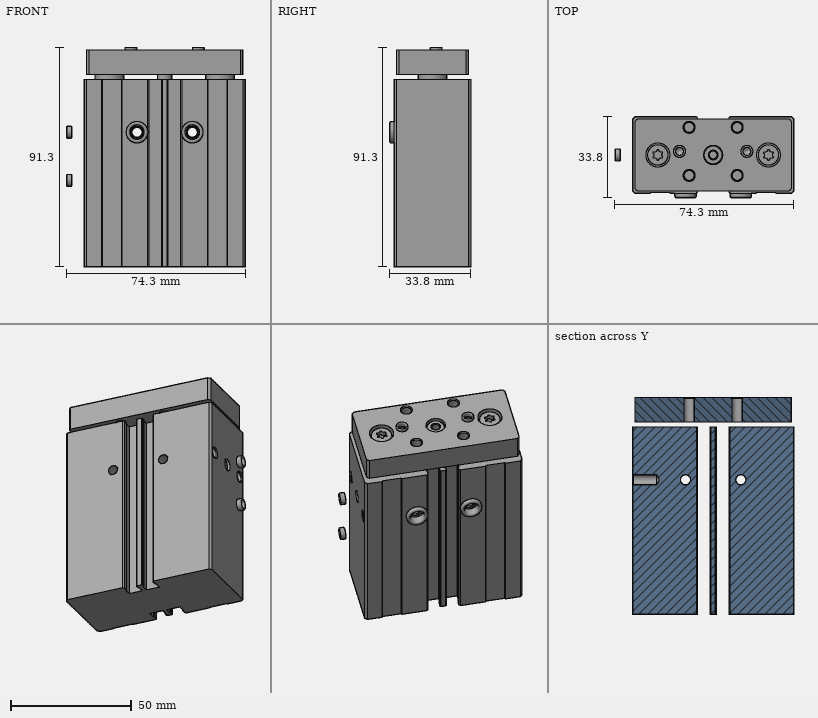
import cadquery as cq
import math

HOUSING_WIDTH = 67.0
HOUSING_DEPTH = 32.0
HOUSING_HEIGHT = 78.0
HOUSING_CHAMFER = 1.0

FLUTE_WIDTH = 8.4
FLUTE_SIDE_SLOPE = 0.25
FLUTE_DEPTH = 0.4
FLUTE_X = 22.0

SLOT_PAIR_WIDTH = 13.0
SLOT_EDGE_CHAMFER = 0.6
SLOT_LIP = 2.5
SLOT_UNDERCUT = 0.4
SLOT_DEPTH = 6.0
RIB_WIDTH = 2.7
RIB_CHAMFER = 0.35
RIB_SETBACK = 1.1
RIB_LIP = 1.9

MOUNT_Z = 56.0
MOUNT_X = 11.5
MOUNT_BORE = 4.13
MOUNT_MOUTH = 5.0
SIDE_HOLE_Y = 12.0
SIDE_HOLE_DIAMETER = 4.13
SIDE_HOLE_MOUTH = 5.0
SIDE_HOLE_DEPTH = 10.0
DRILL_POINT_ANGLE = 118.0

PLATE_GAP = 2.0
PLATE_WIDTH = 65.0
PLATE_DEPTH = 30.0
PLATE_THICKNESS = 10.2
PLATE_CHAMFER = 1.0
PLATE_BOTTOM_Z = HOUSING_HEIGHT + PLATE_GAP
PLATE_TOP_Z = PLATE_BOTTOM_Z + PLATE_THICKNESS
GUIDE_ROD_DIAMETER = 12.0
GUIDE_ROD_X = 23.0
GUIDE_ROD_REACH = 70.0
PISTON_ROD_DIAMETER = 6.0
PISTON_ROD_REACH = 40.0

PATTERN_Y = 1.5
TAPPED_SPACING = 20.0
TAPPED_BORE = 4.13
TAPPED_MOUTH = 5.0
PIN_HOLE_X = 14.0
PIN_HOLE_BORE = 3.3
PIN_HOLE_DEPTH = 6.0

ROD_END_MOUTH = 8.0
ROD_END_DIAMETER = 7.5
ROD_END_FILLET = 0.5
ROD_END_SUNK = 0.8
ROD_END_GROOVE_DEPTH = 1.8
ROD_END_SOCKET_MOUTH = 4.0
ROD_END_SOCKET = 3.24
ROD_END_SOCKET_DEPTH = 4.0

COUNTERBORE_DIAMETER = 10.0
HEAD_DIAMETER = 8.5
HEAD_HEIGHT = 3.2
HEAD_SUNK = 0.8
HEAD_FILLET = 0.5
SHANK_DIAMETER = 5.0
SHANK_LENGTH = 16.0
SOCKET_TIP_RADIUS = 2.25
SOCKET_SHOULDER_RADIUS = 2.0
SOCKET_ROOT_RADIUS = 1.6
LOBE_HALF_TURN = 0.16
SOCKET_LOBES = 6
SOCKET_DEPTH = 2.0

SMALL_SLEEVE_DIAMETER = 5.0
SMALL_SLEEVE_BORE = 3.3
SMALL_SLEEVE_LENGTH = 2.2
SMALL_SLEEVE_RECESS = 1.1
LARGE_SLEEVE_DIAMETER = 9.0
LARGE_SLEEVE_BORE = 6.0
LARGE_SLEEVE_LENGTH = 4.0
LARGE_SLEEVE_RECESS = 2.2
LOOSE_SLEEVE_X = -40.8
LOOSE_SLEEVE_PITCH = 20.0

UP = cq.Vector(0, 0, 1)
DOWN = cq.Vector(0, 0, -1)
LEFT_TO_RIGHT = cq.Vector(1, 0, 0)
FRONT_TO_BACK = cq.Vector(0, 1, 0)
SIDES = (-1, 1)


def cylinder(diameter, length, start, direction):
    return cq.Workplane(cq.Solid.makeCylinder(diameter / 2, length, cq.Vector(*start), direction))


def cone(start_diameter, end_diameter, length, start, direction):
    solid = cq.Solid.makeCone(start_diameter / 2, end_diameter / 2, length, cq.Vector(*start), direction)
    return cq.Workplane(solid)


def mouth_chamfer(mouth, bore, start, direction):
    """45 degree cone that opens a bore at its mouth."""
    return cone(mouth, bore, (mouth - bore) / 2, start, direction)


def blind_hole(diameter, depth, start, direction):
    """Drilled hole with a conical bottom."""
    tip_length = diameter / 2 / math.tan(math.radians(DRILL_POINT_ANGLE / 2))
    tip_start = cq.Vector(*start) + direction * depth
    tip = cone(diameter, 0, tip_length, tip_start.toTuple(), direction)
    return cylinder(diameter, depth, start, direction).union(tip)


def slot_pair():
    """Cutter for one pair of T-slots in the front face, rib left standing."""
    face_y = -HOUSING_DEPTH / 2
    floor_y = face_y + SLOT_DEPTH
    rib_y = face_y + RIB_SETBACK
    lip_y = face_y + SLOT_LIP
    head_y = rib_y + RIB_LIP
    mouth_x = SLOT_PAIR_WIDTH / 2
    rib_x = RIB_WIDTH / 2
    half = [
        (0, face_y),
        (mouth_x + SLOT_EDGE_CHAMFER, face_y),
        (mouth_x, face_y + SLOT_EDGE_CHAMFER),
        (mouth_x, lip_y),
        (mouth_x + SLOT_UNDERCUT, lip_y),
        (mouth_x + SLOT_UNDERCUT, floor_y),
        (rib_x - SLOT_UNDERCUT, floor_y),
        (rib_x - SLOT_UNDERCUT, head_y),
        (rib_x, head_y),
        (rib_x, rib_y + RIB_CHAMFER),
        (rib_x - RIB_CHAMFER, rib_y),
        (0, rib_y),
    ]
    right = cq.Workplane("XY").polyline(half).close().extrude(HOUSING_HEIGHT)
    return right.union(right.mirror("YZ"))


def make_housing():
    body = (
        cq.Workplane("XY")
        .rect(HOUSING_WIDTH, HOUSING_DEPTH)
        .extrude(HOUSING_HEIGHT)
        .edges("|Z")
        .chamfer(HOUSING_CHAMFER)
    )
    front_y = -HOUSING_DEPTH / 2
    left_x = -HOUSING_WIDTH / 2

    slots = slot_pair()
    body = body.cut(slots).cut(slots.mirror("XZ"))

    for side in SIDES:
        floor_half_width = FLUTE_WIDTH / 2 - FLUTE_SIDE_SLOPE
        flute = (
            cq.Workplane("XY")
            .center(side * FLUTE_X, front_y)
            .polyline([
                (-FLUTE_WIDTH / 2, 0),
                (FLUTE_WIDTH / 2, 0),
                (floor_half_width, FLUTE_DEPTH),
                (-floor_half_width, FLUTE_DEPTH),
            ])
            .close()
            .extrude(HOUSING_HEIGHT)
        )
        body = body.cut(flute)

        mouth = (side * MOUNT_X, front_y, MOUNT_Z)
        seat_floor = (side * MOUNT_X, front_y + LARGE_SLEEVE_RECESS, MOUNT_Z)
        body = body.cut(cylinder(MOUNT_BORE, HOUSING_DEPTH, mouth, FRONT_TO_BACK))
        body = body.cut(cylinder(LARGE_SLEEVE_DIAMETER, LARGE_SLEEVE_RECESS, mouth, FRONT_TO_BACK))
        body = body.cut(mouth_chamfer(MOUNT_MOUTH, MOUNT_BORE, seat_floor, FRONT_TO_BACK))

        mouth = (left_x, side * SIDE_HOLE_Y, MOUNT_Z)
        body = body.cut(blind_hole(SIDE_HOLE_DIAMETER, SIDE_HOLE_DEPTH, mouth, LEFT_TO_RIGHT))
        body = body.cut(mouth_chamfer(SIDE_HOLE_MOUTH, SIDE_HOLE_DIAMETER, mouth, LEFT_TO_RIGHT))

        body = body.cut(
            cylinder(GUIDE_ROD_DIAMETER, GUIDE_ROD_REACH, (side * GUIDE_ROD_X, 0, HOUSING_HEIGHT), DOWN)
        )

    body = body.cut(
        cylinder(SMALL_SLEEVE_DIAMETER, SMALL_SLEEVE_RECESS, (left_x, 0, MOUNT_Z), LEFT_TO_RIGHT)
    )
    return body.cut(cylinder(PISTON_ROD_DIAMETER, PISTON_ROD_REACH, (0, 0, HOUSING_HEIGHT), DOWN))


def make_carriage():
    body = (
        cq.Workplane("XY")
        .workplane(offset=PLATE_BOTTOM_Z)
        .rect(PLATE_WIDTH, PLATE_DEPTH)
        .extrude(PLATE_THICKNESS)
        .edges("|Z")
        .chamfer(PLATE_CHAMFER)
    )
    piston_length = PISTON_ROD_REACH + PLATE_GAP
    body = body.union(cylinder(PISTON_ROD_DIAMETER, piston_length, (0, 0, PLATE_BOTTOM_Z), DOWN))

    guide_length = GUIDE_ROD_REACH + PLATE_GAP
    for side in SIDES:
        rod_x = side * GUIDE_ROD_X
        body = body.union(cylinder(GUIDE_ROD_DIAMETER, guide_length, (rod_x, 0, PLATE_BOTTOM_Z), DOWN))

        top = (rod_x, 0, PLATE_TOP_Z)
        counterbore_depth = HEAD_SUNK + HEAD_HEIGHT
        body = body.cut(cylinder(COUNTERBORE_DIAMETER, counterbore_depth, top, DOWN))
        body = body.cut(cylinder(SHANK_DIAMETER, counterbore_depth + SHANK_LENGTH, top, DOWN))

        top = (side * PIN_HOLE_X, PATTERN_Y, PLATE_TOP_Z)
        body = body.cut(cylinder(SMALL_SLEEVE_DIAMETER, SMALL_SLEEVE_RECESS, top, DOWN))
        body = body.cut(blind_hole(PIN_HOLE_BORE, PIN_HOLE_DEPTH, top, DOWN))

        for row in SIDES:
            hole_x = side * TAPPED_SPACING / 2
            hole_y = PATTERN_Y + row * TAPPED_SPACING / 2
            top = (hole_x, hole_y, PLATE_TOP_Z)
            body = body.cut(cylinder(TAPPED_BORE, PLATE_THICKNESS, top, DOWN))
            body = body.cut(mouth_chamfer(TAPPED_MOUTH, TAPPED_BORE, top, DOWN))

    plate_top = (0, 0, PLATE_TOP_Z)
    end_top = (0, 0, PLATE_TOP_Z - ROD_END_SUNK)
    end_height = ROD_END_GROOVE_DEPTH - ROD_END_SUNK
    rod_end = cylinder(ROD_END_DIAMETER, end_height, end_top, DOWN).faces(">Z").edges().fillet(ROD_END_FILLET)
    body = body.cut(cylinder(ROD_END_MOUTH, ROD_END_GROOVE_DEPTH, plate_top, DOWN)).union(rod_end)
    body = body.cut(cylinder(ROD_END_SOCKET, ROD_END_SOCKET_DEPTH, end_top, DOWN))
    return body.cut(mouth_chamfer(ROD_END_SOCKET_MOUTH, ROD_END_SOCKET, end_top, DOWN))


def socket_outline(x, z):
    """Six-lobed outline: convex lobe tips joined by concave flanks."""
    step = 2 * math.pi / SOCKET_LOBES

    def polar(radius, turn):
        return radius * math.sin(turn * step), radius * math.cos(turn * step)

    outline = cq.Workplane("XY", origin=(x, 0, z)).moveTo(*polar(SOCKET_SHOULDER_RADIUS, LOBE_HALF_TURN))
    for lobe in range(SOCKET_LOBES):
        next_start = lobe + 1 - LOBE_HALF_TURN
        next_end = lobe + 1 + LOBE_HALF_TURN
        outline = outline.threePointArc(
            polar(SOCKET_ROOT_RADIUS, lobe + 0.5), polar(SOCKET_SHOULDER_RADIUS, next_start)
        )
        outline = outline.threePointArc(
            polar(SOCKET_TIP_RADIUS, lobe + 1), polar(SOCKET_SHOULDER_RADIUS, next_end)
        )
    return outline.close()


def make_screw(x):
    head_top = PLATE_TOP_Z - HEAD_SUNK
    head = (
        cq.Workplane("XY", origin=(x, 0, head_top - HEAD_HEIGHT))
        .circle(HEAD_DIAMETER / 2)
        .extrude(HEAD_HEIGHT)
        .faces(">Z")
        .edges()
        .fillet(HEAD_FILLET)
    )
    shank = cylinder(SHANK_DIAMETER, SHANK_LENGTH, (x, 0, head_top - HEAD_HEIGHT), DOWN)
    socket = socket_outline(x, head_top - SOCKET_DEPTH).extrude(SOCKET_DEPTH)
    return head.union(shank).cut(socket)


def make_sleeve(diameter, bore, length, start, direction):
    """Centring sleeve whose wall ends in a full round at both rims."""
    wall = (diameter - bore) / 2
    rim_radius = wall / 2
    inner = bore / 2
    middle = inner + rim_radius
    outer = diameter / 2
    plane = cq.Plane(origin=start, xDir=(direction.y, direction.z, direction.x), normal=direction)
    section = (
        cq.Workplane("XZ")
        .moveTo(inner, rim_radius)
        .threePointArc((middle, 0), (outer, rim_radius))
        .lineTo(outer, length - rim_radius)
        .threePointArc((middle, length), (inner, length - rim_radius))
        .close()
    )
    upright = section.revolve(360, (0, 0, 0), (0, 1, 0)).val()
    return cq.Workplane(upright.moved(cq.Location(plane)))


def make_small_sleeve(start, direction):
    return make_sleeve(SMALL_SLEEVE_DIAMETER, SMALL_SLEEVE_BORE, SMALL_SLEEVE_LENGTH, start, direction)


def make_large_sleeve(start, direction):
    return make_sleeve(LARGE_SLEEVE_DIAMETER, LARGE_SLEEVE_BORE, LARGE_SLEEVE_LENGTH, start, direction)


housing = make_housing()
carriage = make_carriage()

screws = []
plate_sleeves = []
port_sleeves = []
for side in SIDES:
    screws.append(make_screw(side * GUIDE_ROD_X))

    plate_seat = (side * PIN_HOLE_X, PATTERN_Y, PLATE_TOP_Z - SMALL_SLEEVE_RECESS)
    plate_sleeves.append(make_small_sleeve(plate_seat, UP))

    port_seat_y = -HOUSING_DEPTH / 2 + LARGE_SLEEVE_RECESS - LARGE_SLEEVE_LENGTH
    port_sleeves.append(make_large_sleeve((side * MOUNT_X, port_seat_y, MOUNT_Z), FRONT_TO_BACK))

loose_sleeves = []
for step in range(2):
    sleeve_z = MOUNT_Z - step * LOOSE_SLEEVE_PITCH
    loose_sleeves.append(make_small_sleeve((LOOSE_SLEEVE_X, 0, sleeve_z), LEFT_TO_RIGHT))

repeated = screws + plate_sleeves + port_sleeves + loose_sleeves
result = cq.Compound.makeCompound([housing.val(), carriage.val(), *[body.val() for body in repeated]])